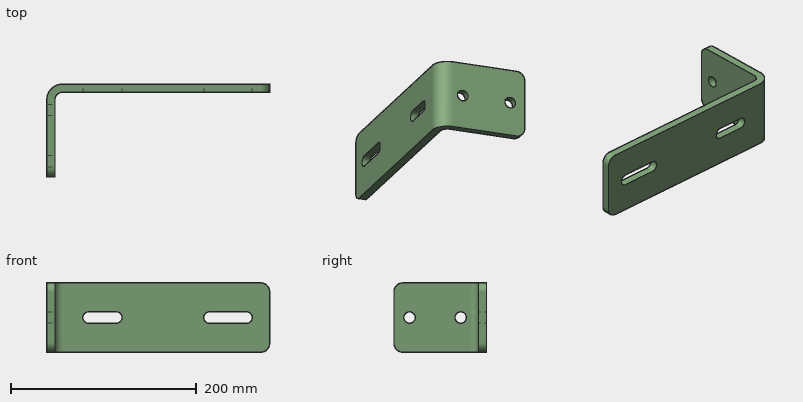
import cadquery as cq

length = 240.0
depth = 100.0
height = 75.0

thickness = 9.0
inner_bend_radius = 8.0
outer_bend_radius = inner_bend_radius + thickness
corner_radius = 10.0

opening_width = 12.0
mid_height = height / 2
near_slot_x = 60.0
near_slot_length = 42.0
far_slot_x = 195.0
far_slot_length = 52.0
hole_spacing = 55.0
outer_hole_edge_distance = 17.0

overcut = 1.0


def bent_strip():
    """L-shaped strip with concentric inner and outer bend radii."""
    block = cq.Workplane("XY").box(length, depth, height, centered=False)
    block = block.edges("|Z and <X and >Y").fillet(outer_bend_radius)
    inside = cq.Workplane("XY").box(length, depth, height, centered=False)
    inside = inside.edges("|Z and <X and >Y").fillet(inner_bend_radius)
    return block.cut(inside.translate((thickness, -thickness, 0)))


def round_free_corners(strip):
    """Round the two corners at the free end of each leg."""
    strip = strip.faces(">X").edges("|Y").fillet(corner_radius)
    return strip.faces("<Y").edges("|X").fillet(corner_radius)


def long_leg_slot(centre_x, slot_length):
    """Cutter for a round-ended slot through the long leg."""
    return (
        cq.Workplane("XZ", origin=(centre_x, depth + overcut, mid_height))
        .slot2D(slot_length, opening_width)
        .extrude(thickness + 2 * overcut)
    )


def short_leg_hole(centre_y):
    """Cutter for a round hole through the short leg."""
    return (
        cq.Workplane("YZ", origin=(-overcut, centre_y, mid_height))
        .circle(opening_width / 2)
        .extrude(thickness + 2 * overcut)
    )


result = round_free_corners(bent_strip())

for slot_x, slot_length in ((near_slot_x, near_slot_length), (far_slot_x, far_slot_length)):
    result = result.cut(long_leg_slot(slot_x, slot_length))

for hole_y in (outer_hole_edge_distance, outer_hole_edge_distance + hole_spacing):
    result = result.cut(short_leg_hole(hole_y))